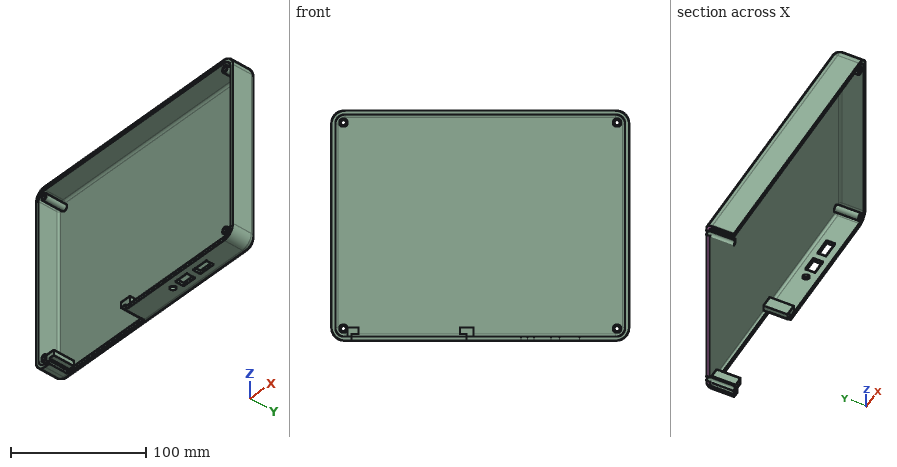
import cadquery as cq

width = 220.0
height = 170.0
depth = 23.0
wall = 3.0
corner_radius = 10.0
rim_round = 5.0
inner_round = rim_round - wall
floor_y = depth - wall
left = -width / 2
bottom = -height / 2
inner_bottom = bottom + wall

post_inset = 9.0
post_diameter = 6.0
screw_hole_diameter = 4.0
post_front_y = 0.0
post_x = width / 2 - post_inset
post_z = height / 2 - post_inset

opening_left = left + 15.0
opening_width = 85.0
opening_right = opening_left + opening_width
opening_top = inner_bottom + inner_round
opening_back_y = depth - rim_round

jack_diameter = 5.0
jack_x = 32.5
jack_y = 9.25
ports = [
    (39.5, 52.25, 5.5, 13.5),
    (58.5, 73.25, 6.25, 13.25),
]

block_reach = 5.0
block_height = 7.0
block_top = inner_bottom + block_height
block_left_edge = -post_x + post_diameter / 2


def box(x_min, x_max, y_min, y_max, z_min, z_max):
    """Axis-aligned box given by its limits."""
    size = (x_max - x_min, y_max - y_min, z_max - z_min)
    return cq.Workplane("XY").box(*size, centered=False).translate((x_min, y_min, z_min))


def rounded_block(inset, back_y, back_round):
    """Rounded rectangle, running from the mouth to back_y, with a rounded back edge."""
    return (
        cq.Workplane("XZ")
        .rect(width - 2 * inset, height - 2 * inset)
        .extrude(-back_y)
        .edges("|Y")
        .fillet(corner_radius - inset)
        .faces(">Y")
        .edges()
        .fillet(back_round)
    )


def make_cavity():
    """Space inside the housing walls."""
    return rounded_block(wall, floor_y, inner_round)


def make_opening(back_y):
    """Clearance of the bottom opening, from the mouth to back_y."""
    return box(opening_left, opening_right, 0, back_y, bottom, opening_top)


def cylinders_at_posts(diameter, front_y, back_y):
    """Four cylinders along Y, one on each post axis."""
    return (
        cq.Workplane("XZ", origin=(0, front_y, 0))
        .rect(2 * post_x, 2 * post_z, forConstruction=True)
        .vertices()
        .circle(diameter / 2)
        .extrude(front_y - back_y)
    )


def make_connector_cutters():
    """Round jack hole and rectangular ports, through the bottom wall."""
    cutters = (
        cq.Workplane("XY", origin=(0, 0, bottom))
        .center(jack_x, jack_y)
        .circle(jack_diameter / 2)
        .extrude(wall)
    )
    for port_limits in ports:
        cutters = cutters.add(box(*port_limits, bottom, inner_bottom))
    return cutters.combine()


def make_housing():
    """Tray with its screw posts, bottom opening and connector openings."""
    tray = rounded_block(0, depth, rim_round).cut(make_cavity())
    tray = tray.union(cylinders_at_posts(post_diameter, post_front_y, floor_y))
    tray = tray.cut(cylinders_at_posts(screw_hole_diameter, 0, depth))
    return tray.cut(make_opening(opening_back_y)).cut(make_connector_cutters())


def make_guide_block(x_min, x_max):
    """Block resting on the bottom wall and the floor, notched where it overhangs the opening."""
    blank = box(x_min, x_max, 0, floor_y, inner_bottom, block_top)
    return blank.intersect(make_cavity()).cut(make_opening(floor_y))


housing = make_housing()
left_guide = make_guide_block(block_left_edge, opening_left + block_reach)
right_guide = make_guide_block(opening_right - block_reach, opening_right + block_reach)

result = cq.Compound.makeCompound([housing.val(), left_guide.val(), right_guide.val()])